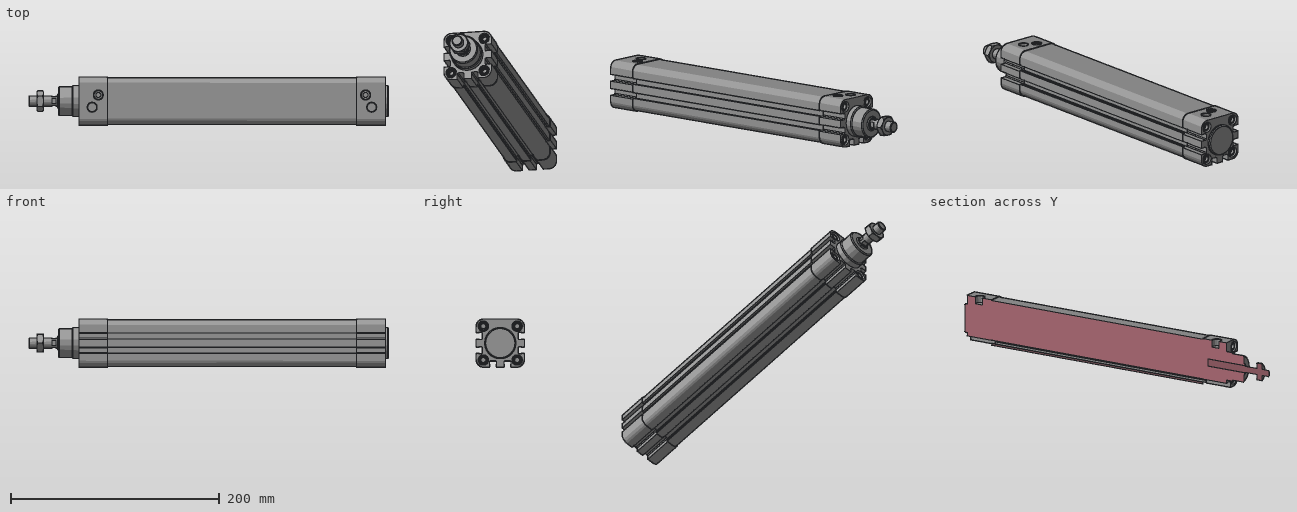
import cadquery as cq

TOTAL_LENGTH = 345
LIP_START = 27.3
COLLAR_START = 28.3
COLLAR_STEP = 41.5
FRONT_CAP_START = 48.0
FRONT_CAP_END = 75.2
REAR_CAP_START = 314.3
REAR_CAP_END = 342.2

CAP_SIZE = 46.5
BARREL_SIZE = 45.2
CORNER_CENTER = 16.0
SLOT_CENTER = 7
CAP_SLOT_WIDTH = 6.5
CAP_SLOT_FLOOR = 17.0
CAP_SLOT_BEVEL = 1.0
BARREL_MOUTH_WIDTH = 5.5
BARREL_LIP_THICKNESS = 2.0
BARREL_SLOT_WIDTH = 6.5
BARREL_SLOT_FLOOR = 17.5

COLLAR_DIAMETER = 28.0
SPIGOT_DIAMETER = 30.0
EDGE_CHAMFER = 1.0
LIP_DIAMETER = 14.0
LIP_TIP_DIAMETER = 12.0

SCREW_CENTER = 16.2
SCREW_BORE_DIAMETER = 10.0
SCREW_HEAD_DIAMETER = 8.3
SCREW_BORE_DEPTH = 3.5
SCREW_HEAD_DROP = 1.0
SCREW_HEAD_CHAMFER = 0.7
SOCKET_DIAMETER = 5.0
SOCKET_DEPTH = 3.5
PORT_DIAMETER = 8.5
PORT_MOUTH_DIAMETER = 9.5
PORT_DEPTH = 7
PORT_INSET = 14.5
PORT_Y = -6.0
CUSHION_DIAMETER = 8.3
CUSHION_MOUTH_DIAMETER = 9.5
CUSHION_DEPTH = 1.5
CUSHION_INSET = 8.5
CUSHION_Y = 6.0

ROD_DIAMETER = 10.0
ROD_END = 69
TIP_CHAMFER = 0.7
FLATS_START = 22.0
FLATS_LENGTH = 4.0
FLATS_WIDTH = 8.5
NUT_START = 7.5
NUT_THICKNESS = 6.5
NUT_CORNERS = 20.0
NUT_BEVEL_DIAMETER = 17.2
NUT_BEVEL_LENGTH = 1.0


def cylinder_x(diameter, start, end, y=0, z=0):
    """Cylinder parallel to X between two stations."""
    return cq.Workplane("YZ", origin=(start, y, z)).circle(diameter / 2).extrude(end - start)


def cone_x(start_diameter, end_diameter, start, end):
    """Cone frustum around the X axis between two stations."""
    frustum = cq.Solid.makeCone(
        start_diameter / 2, end_diameter / 2, end - start, cq.Vector(start, 0, 0), cq.Vector(1, 0, 0)
    )
    return cq.Workplane(frustum)


def bar_with_slots(size, slot_half_outline, start, end):
    """Square bar with round corners and pairs of slots on both sides and underneath.

    The half outline lists (half width, distance from the axis) from the mouth to the floor.
    """
    length = end - start
    bar = cq.Workplane("YZ", origin=(start, 0, 0)).rect(size, size).extrude(length)
    bar = bar.edges("|X").fillet(size / 2 - CORNER_CENTER)
    left_wall = [(-half_width, -level) for half_width, level in slot_half_outline]
    right_wall = [(half_width, -level) for half_width, level in reversed(slot_half_outline)]
    slot = cq.Workplane("YZ", origin=(start, 0, 0)).polyline(left_wall + right_wall).close().extrude(length)
    for offset in (-SLOT_CENTER, SLOT_CENTER):
        for angle in (-90, 0, 90):
            bar = bar.cut(slot.translate((0, offset, 0)).rotate((0, 0, 0), (1, 0, 0), angle))
    return bar


def make_barrel():
    mouth = BARREL_MOUTH_WIDTH / 2
    inside = BARREL_SLOT_WIDTH / 2
    surface = BARREL_SIZE / 2
    lip_level = surface - BARREL_LIP_THICKNESS
    outline = [(mouth, surface), (mouth, lip_level), (inside, lip_level), (inside, BARREL_SLOT_FLOOR)]
    return bar_with_slots(BARREL_SIZE, outline, FRONT_CAP_END, REAR_CAP_START)


def make_cap(start, end):
    wall = CAP_SLOT_WIDTH / 2
    outline = [
        (wall, CAP_SIZE / 2),
        (wall, CAP_SLOT_FLOOR + CAP_SLOT_BEVEL),
        (wall - CAP_SLOT_BEVEL, CAP_SLOT_FLOOR),
    ]
    return bar_with_slots(CAP_SIZE, outline, start, end)


def countersunk_hole(x, y, diameter, mouth_diameter, depth):
    """Cutter for a blind hole in the top of a cap, with a 45 degree bevel at the mouth."""
    top = CAP_SIZE / 2
    bevel = (mouth_diameter - diameter) / 2
    mouth = cq.Workplane("XY", origin=(x, y, top)).circle(mouth_diameter / 2).extrude(-bevel, taper=45)
    return cq.Workplane("XY", origin=(x, y, top)).circle(diameter / 2).extrude(-depth).union(mouth)


def cap_top_openings(face_x, direction):
    """Port and cushion screw recess of one cap; direction points from the barrel into the cap."""
    port_x = face_x + direction * PORT_INSET
    cushion_x = face_x + direction * CUSHION_INSET
    port = countersunk_hole(port_x, PORT_Y, PORT_DIAMETER, PORT_MOUTH_DIAMETER, PORT_DEPTH)
    recess = countersunk_hole(cushion_x, CUSHION_Y, CUSHION_DIAMETER, CUSHION_MOUTH_DIAMETER, CUSHION_DEPTH)
    socket = cq.Workplane("XY", origin=(cushion_x, CUSHION_Y, CAP_SIZE / 2)).circle(SOCKET_DIAMETER / 2)
    socket = socket.extrude(-CUSHION_DEPTH - SOCKET_DEPTH)
    return port.union(recess).union(socket)


def make_housing():
    housing = make_barrel()
    for start, end in ((FRONT_CAP_START, FRONT_CAP_END), (REAR_CAP_START, REAR_CAP_END)):
        housing = housing.union(make_cap(start, end))

    collar = cylinder_x(COLLAR_DIAMETER, COLLAR_START, FRONT_CAP_START).faces("<X").chamfer(EDGE_CHAMFER)
    shoulder = cylinder_x(SPIGOT_DIAMETER, COLLAR_STEP, FRONT_CAP_START).faces("<X").chamfer(EDGE_CHAMFER)
    lip = cone_x(LIP_TIP_DIAMETER, LIP_DIAMETER, LIP_START, COLLAR_START)
    spigot = cylinder_x(SPIGOT_DIAMETER, REAR_CAP_END, TOTAL_LENGTH).faces(">X").chamfer(EDGE_CHAMFER)
    for feature in (collar, shoulder, lip, spigot):
        housing = housing.union(feature)

    housing = housing.cut(cap_top_openings(FRONT_CAP_END, -1)).cut(cap_top_openings(REAR_CAP_START, 1))

    for face_x, inward in ((FRONT_CAP_START, 1), (REAR_CAP_END, -1)):
        head_x = face_x + inward * SCREW_HEAD_DROP
        for y in (-SCREW_CENTER, SCREW_CENTER):
            for z in (-SCREW_CENTER, SCREW_CENTER):
                bore = cylinder_x(SCREW_BORE_DIAMETER, face_x, face_x + inward * SCREW_BORE_DEPTH, y, z)
                head = cylinder_x(SCREW_HEAD_DIAMETER, head_x, face_x + inward * SCREW_BORE_DEPTH, y, z)
                head = head.faces("<X" if inward > 0 else ">X").chamfer(SCREW_HEAD_CHAMFER)
                socket = cylinder_x(SOCKET_DIAMETER, head_x, head_x + inward * SOCKET_DEPTH, y, z)
                housing = housing.cut(bore.cut(head)).cut(socket)

    return housing.cut(cylinder_x(ROD_DIAMETER, LIP_START, ROD_END))


def make_rod():
    rod = cylinder_x(ROD_DIAMETER, 0, ROD_END).faces("<X").chamfer(TIP_CHAMFER)

    square = cq.Workplane("YZ", origin=(FLATS_START, 0, 0)).rect(FLATS_WIDTH, FLATS_WIDTH).extrude(FLATS_LENGTH)
    rod = rod.cut(cylinder_x(NUT_CORNERS, FLATS_START, FLATS_START + FLATS_LENGTH).cut(square))

    nut = cq.Workplane("YZ", origin=(NUT_START, 0, 0)).polygon(6, NUT_CORNERS).extrude(NUT_THICKNESS)
    nut_end = NUT_START + NUT_THICKNESS
    bevel_start = NUT_START + NUT_BEVEL_LENGTH
    bevel_end = nut_end - NUT_BEVEL_LENGTH
    envelope = cone_x(NUT_BEVEL_DIAMETER, NUT_CORNERS, NUT_START, bevel_start)
    envelope = envelope.union(cylinder_x(NUT_CORNERS, bevel_start, bevel_end))
    envelope = envelope.union(cone_x(NUT_CORNERS, NUT_BEVEL_DIAMETER, bevel_end, nut_end))
    return rod.union(nut.intersect(envelope))


housing = make_housing()
rod = make_rod()
result = cq.Compound.makeCompound([housing.val(), rod.val()])